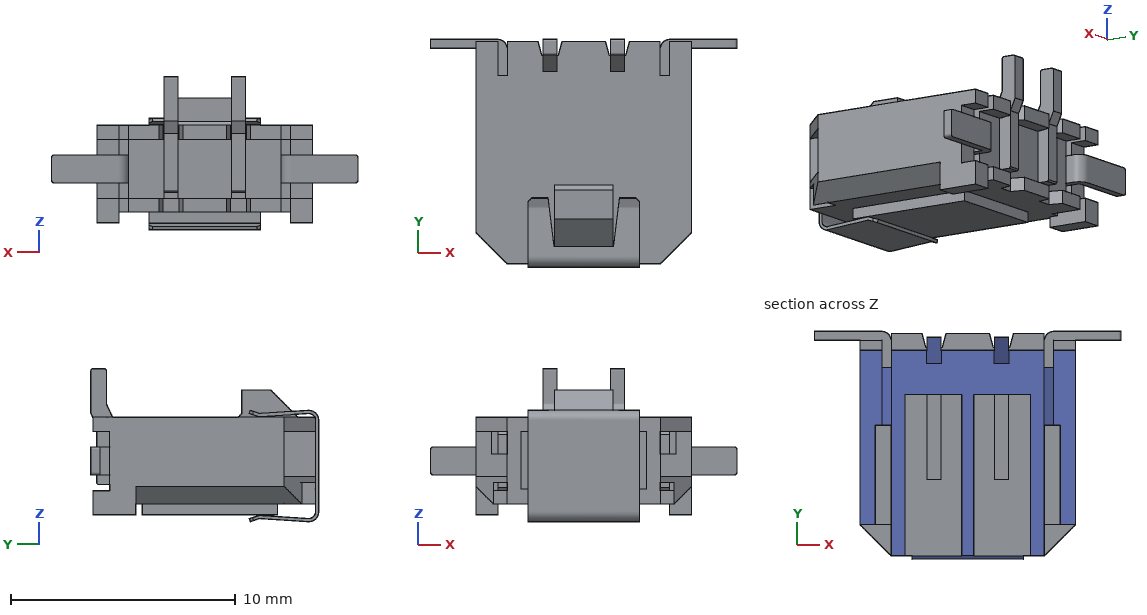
import cadquery as cq
import math


HOUSING_WIDTH = 9.61
HOUSING_LENGTH = 9.91
BODY_HEIGHT = 3.88
STANDOFF = 0.48
CORNER_CUT = 1.39
SIDE_BEVEL = 0.79
ROOF = 0.64
FOOT_LENGTH = 1.91
PAD_FRONT = 1.68
PAD_LENGTH = 6.03
REAR_RECESS_DEPTH = 0.75
REAR_RECESS_HEIGHT = 2.63

CAVITY_SPAN = 5.57
CAVITY_WALL = 0.55
CAVITY_HEIGHT = 2.55
CAVITY_DEPTH = 7.18

CORNER_POCKET_HEIGHT = 1.99
UPPER_WINDOW_WIDTH = 0.7
UPPER_WINDOW_HEIGHT = 1.0
LOWER_POCKET_TOP = 2.92

LATCH_WIDTH = 2.62
LATCH_HEIGHT = 1.21
LATCH_FRONT = 0.78
LATCH_BACK = 3.29
LATCH_FLARE = 0.15
LATCH_ROOT = 0.08

PIN_PITCH = 3.0
PIN_WIDTH = 0.64
PIN_TOP = 2.15
PIN_OVERHANG = 0.1
PIN_DEPTH = 0.71
PIN_FRONT_BEND = 0.57
PIN_REAR_BEND = 0.18
PIN_SLOPE = 0.47
PIN_BEND_RADIUS = 0.14
PIN_HEEL_INSET = 0.16
PIN_HEEL_BOTTOM = 3.0
PIN_HEEL_CHAMFER = 0.07
PIN_BLADE_FRONT = 3.41
PIN_TIP_ROUND = 0.11
PIN_SLOT_LENGTH = 1.34
PIN_FUNNEL_LENGTH = 0.63
PIN_FUNNEL_MOUTH = 1.06
PIN_FUNNEL_ROOT = 0.72

TAB_THICKNESS = 0.41
TAB_OUTER_FACE = 3.81
TAB_SPAN = 13.65
TAB_FRONT = 5.81
TAB_LEAD = 0.14
TAB_BEND_RADIUS = 0.04
WING_TOP = 1.32
WING_HEIGHT = 1.25
WING_TIP_ROUND = 0.12
TAB_SLOT_LENGTH = 1.52

CLIP_WIDTH = 4.97
CLIP_THICKNESS = 0.15
CLIP_HEIGHT = 4.97
CLIP_RADIUS = 0.45
CLIP_ARM_BEND = 2.5
CLIP_BEND_RADIUS = 0.2
CLIP_ARM_ANGLE = 3.7
CLIP_TIP_LENGTH = 0.45
CLIP_TIP_ANGLE = 18.0
CLIP_TIP_CHAMFER = 0.18
CLIP_SLIT_END = 0.78
CLIP_SLIT_ROOT = 2.65
CLIP_SLIT_MOUTH = 3.18

TOTAL_HEIGHT = BODY_HEIGHT + STANDOFF
HALF_WIDTH = HOUSING_WIDTH / 2
FLAT_HALF = HALF_WIDTH - CORNER_CUT
TAB_INNER_FACE = TAB_OUTER_FACE - TAB_THICKNESS
RECESS_BOTTOM = ROOF + REAR_RECESS_HEIGHT
SLOT_FRONT = HOUSING_LENGTH - PIN_SLOT_LENGTH
PIN_CENTERS = [-PIN_PITCH / 2, PIN_PITCH / 2]
SIDES = [-1, 1]


def block(x0, x1, y0, y1, z0, z1):
    """Box between two opposite corners."""
    size = (abs(x1 - x0), abs(y1 - y0), abs(z1 - z0))
    return cq.Workplane("XY").box(*size).translate(((x0 + x1) / 2, (y0 + y1) / 2, (z0 + z1) / 2))


def side_profile(points, width):
    """Closed (y, z) outline extruded along X, centred on X = 0."""
    return cq.Workplane("YZ").polyline(points).close().extrude(width / 2, both=True)


def make_pin():
    """Bent contact: upright leg, sloping neck, heel and a horizontal blade pointing forward."""
    rear = HOUSING_LENGTH + PIN_OVERHANG
    front = rear - PIN_DEPTH
    heel_rear = HOUSING_LENGTH - PIN_HEEL_INSET
    neck_bottom = PIN_FRONT_BEND - (front - SLOT_FRONT) / PIN_SLOPE
    heel_top = PIN_REAR_BEND - (rear - heel_rear) / PIN_SLOPE
    blade_top = -PIN_HEEL_BOTTOM + PIN_WIDTH
    pin = side_profile(
        [
            (rear, PIN_TOP),
            (rear, PIN_REAR_BEND),
            (heel_rear, heel_top),
            (heel_rear, -PIN_HEEL_BOTTOM + PIN_HEEL_CHAMFER),
            (heel_rear - PIN_HEEL_CHAMFER, -PIN_HEEL_BOTTOM),
            (PIN_BLADE_FRONT, -PIN_HEEL_BOTTOM),
            (PIN_BLADE_FRONT, blade_top),
            (SLOT_FRONT, blade_top),
            (SLOT_FRONT, neck_bottom),
            (front, PIN_FRONT_BEND),
            (front, PIN_TOP),
        ],
        PIN_WIDTH,
    )
    front_bend = cq.selectors.NearestToPointSelector((0, front, PIN_FRONT_BEND))
    pin = pin.edges(front_bend).fillet(PIN_BEND_RADIUS)
    return pin.faces(">Z").edges("|X").fillet(PIN_TIP_ROUND)


def make_tab(side):
    """Solder tab: tall plate, narrower neck and a wing bent outward (side is -1 or 1)."""
    plate_rear = HOUSING_LENGTH - TAB_SLOT_LENGTH
    plate = side_profile(
        [
            (TAB_FRONT, -ROOF - TAB_LEAD),
            (TAB_FRONT + TAB_LEAD, -ROOF),
            (plate_rear, -ROOF),
            (plate_rear, -RECESS_BOTTOM),
            (TAB_FRONT + TAB_LEAD, -RECESS_BOTTOM),
            (TAB_FRONT, -RECESS_BOTTOM + TAB_LEAD),
        ],
        TAB_THICKNESS,
    ).translate((TAB_OUTER_FACE - TAB_THICKNESS / 2, 0, 0))

    wing_rear = HOUSING_LENGTH + PIN_OVERHANG
    wing_front = wing_rear - TAB_THICKNESS
    outer_radius = TAB_BEND_RADIUS + TAB_THICKNESS
    bend_x = TAB_OUTER_FACE + TAB_BEND_RADIUS
    bend_y = wing_front - TAB_BEND_RADIUS

    def bend_middle(radius):
        reach = radius * math.sqrt(0.5)
        return (bend_x - reach, bend_y + reach)

    neck_and_wing = (
        cq.Workplane("XY")
        .workplane(offset=-WING_TOP)
        .moveTo(TAB_SPAN / 2, wing_rear)
        .lineTo(bend_x, wing_rear)
        .threePointArc(bend_middle(outer_radius), (TAB_INNER_FACE, bend_y))
        .lineTo(TAB_INNER_FACE, plate_rear)
        .lineTo(TAB_OUTER_FACE, plate_rear)
        .lineTo(TAB_OUTER_FACE, bend_y)
        .threePointArc(bend_middle(TAB_BEND_RADIUS), (bend_x, wing_front))
        .lineTo(TAB_SPAN / 2, wing_front)
        .close()
        .extrude(-WING_HEIGHT)
        .faces(">X")
        .edges("|Y")
        .fillet(WING_TIP_ROUND)
    )
    tab = plate.union(neck_and_wing)
    return tab if side > 0 else tab.mirror("YZ")


def make_clip_arm():
    """Upper half of the clip, before the slit is cut, with Z = 0 at half the clip's height."""
    half_height = CLIP_HEIGHT / 2
    inner_radius = CLIP_RADIUS - CLIP_THICKNESS
    bend_y = inner_radius
    bend_z = half_height - CLIP_RADIUS
    arm_angle = math.radians(CLIP_ARM_ANGLE)
    tip_angle = math.radians(CLIP_TIP_ANGLE)

    def on_bend(radius, angle):
        """Point on the bend; the angle runs from straight up toward the arm."""
        return (bend_y + radius * math.sin(angle), bend_z + radius * math.cos(angle))

    def arm_height(radius):
        """Height of the arm's face, tangent to the bend, where the tip turns outward."""
        return bend_z + radius / math.cos(arm_angle) - (CLIP_ARM_BEND - bend_y) * math.tan(arm_angle)

    inner_turn = (CLIP_ARM_BEND, arm_height(inner_radius))
    outer_turn = (CLIP_ARM_BEND, arm_height(CLIP_RADIUS))
    tip_y = CLIP_ARM_BEND + CLIP_TIP_LENGTH
    tip_z = inner_turn[1] + CLIP_TIP_LENGTH * math.tan(tip_angle)
    outer_tip = (
        tip_y - CLIP_THICKNESS * math.sin(tip_angle),
        tip_z + CLIP_THICKNESS * math.cos(tip_angle),
    )
    halfway = -math.radians(45)
    arm = (
        cq.Workplane("YZ")
        .moveTo(-CLIP_THICKNESS, 0)
        .lineTo(-CLIP_THICKNESS, bend_z)
        .threePointArc(on_bend(CLIP_RADIUS, halfway), on_bend(CLIP_RADIUS, arm_angle))
        .lineTo(*outer_turn)
        .lineTo(*outer_tip)
        .lineTo(tip_y, tip_z)
        .lineTo(*inner_turn)
        .lineTo(*on_bend(inner_radius, arm_angle))
        .threePointArc(on_bend(inner_radius, halfway), (0, bend_z))
        .lineTo(0, 0)
        .close()
        .extrude(CLIP_WIDTH / 2, both=True)
    )
    hollow_edge = cq.selectors.NearestToPointSelector((0, *outer_turn))
    arm = arm.edges(hollow_edge).fillet(CLIP_BEND_RADIUS)
    round_edge = cq.selectors.NearestToPointSelector((0, *inner_turn))
    arm = arm.edges(round_edge).fillet(CLIP_BEND_RADIUS + CLIP_THICKNESS)
    outline = (
        cq.Workplane("XY")
        .rect(CLIP_WIDTH, 2 * tip_y)
        .extrude(CLIP_HEIGHT)
        .edges("|Z and >Y")
        .chamfer(CLIP_TIP_CHAMFER)
    )
    return arm.intersect(outline)


def make_clip():
    """U-shaped sheet clip over the mating face, with a slit in the upper arm for the latch."""
    arm = make_clip_arm()
    tip_y = CLIP_ARM_BEND + CLIP_TIP_LENGTH
    slit = (
        cq.Workplane("XY")
        .polyline(
            [
                (-CLIP_SLIT_ROOT / 2, CLIP_SLIT_END),
                (CLIP_SLIT_ROOT / 2, CLIP_SLIT_END),
                (CLIP_SLIT_MOUTH / 2, tip_y),
                (-CLIP_SLIT_MOUTH / 2, tip_y),
            ]
        )
        .close()
        .extrude(CLIP_HEIGHT)
    )
    return arm.cut(slit).union(arm.mirror("XY")).translate((0, 0, -TOTAL_HEIGHT / 2))


def make_body():
    """Housing block with cut front corners, bevelled sides, rear feet and bottom pad."""
    body = (
        block(-HALF_WIDTH, HALF_WIDTH, 0, HOUSING_LENGTH, -BODY_HEIGHT, 0)
        .edges("|Z and <Y")
        .chamfer(CORNER_CUT)
    )
    foot_front = HOUSING_LENGTH - FOOT_LENGTH
    bevel = (
        cq.Workplane("XZ")
        .polyline(
            [
                (HALF_WIDTH, -BODY_HEIGHT),
                (HALF_WIDTH - SIDE_BEVEL, -BODY_HEIGHT),
                (HALF_WIDTH, -BODY_HEIGHT + SIDE_BEVEL),
            ]
        )
        .close()
        .extrude(-foot_front)
    )
    body = body.cut(bevel).cut(bevel.mirror("YZ"))
    for side in SIDES:
        inner = side * TAB_OUTER_FACE
        outer = side * HALF_WIDTH
        foot = block(inner, outer, foot_front, HOUSING_LENGTH, -TOTAL_HEIGHT, -BODY_HEIGHT)
        body = body.union(foot)
    pad = block(
        -CLIP_WIDTH / 2, CLIP_WIDTH / 2, PAD_FRONT, PAD_FRONT + PAD_LENGTH, -TOTAL_HEIGHT, -BODY_HEIGHT
    )
    return body.union(pad)


def make_latch():
    """Ramp that the slit of the clip fits around, flared at the foot of its back face."""
    flare_run = LATCH_FLARE + LATCH_ROOT
    return side_profile(
        [
            (LATCH_FRONT, 0),
            (LATCH_FRONT + LATCH_HEIGHT, LATCH_HEIGHT),
            (LATCH_BACK, LATCH_HEIGHT),
            (LATCH_BACK, LATCH_FLARE),
            (LATCH_BACK + flare_run, -LATCH_ROOT),
            (LATCH_FRONT, -LATCH_ROOT),
        ],
        LATCH_WIDTH,
    )


def latch_groove():
    """Groove behind the latch that lets its flare run below the top face."""
    half = LATCH_WIDTH / 2
    groove_back = LATCH_BACK + LATCH_FLARE + LATCH_ROOT
    return block(-half, half, LATCH_BACK, groove_back, -LATCH_ROOT, 0)


def mating_cavity(side):
    """Cavity around the blade of one pin, open at the front."""
    inner = side * CAVITY_WALL / 2
    outer = side * CAVITY_SPAN / 2
    return block(inner, outer, 0, CAVITY_DEPTH, -ROOF - CAVITY_HEIGHT, -ROOF)


def corner_pockets(side):
    """Pockets and windows in one front corner; the windows run back to the solder tab."""
    pocket_bottom = -ROOF - CORNER_POCKET_HEIGHT
    inner = side * FLAT_HALF
    lower_outer = side * (HALF_WIDTH - SIDE_BEVEL)
    pockets = block(inner, side * HALF_WIDTH, 0, CORNER_CUT, pocket_bottom, -ROOF)
    upper_window = block(
        inner, side * (FLAT_HALF + UPPER_WINDOW_WIDTH), 0, TAB_FRONT, -ROOF - UPPER_WINDOW_HEIGHT, -ROOF
    )
    lower_pocket = block(inner, lower_outer, 0, CORNER_CUT, -BODY_HEIGHT, -LOWER_POCKET_TOP)
    lower_window = block(inner, lower_outer, 0, TAB_FRONT, -RECESS_BOTTOM, -LOWER_POCKET_TOP)
    return pockets.union(upper_window).union(lower_pocket).union(lower_window)


def tab_slots(side):
    """Seat of one solder tab's plate, with a slot through the full height at the rear."""
    inner = side * TAB_INNER_FACE
    outer = side * TAB_OUTER_FACE
    seat = block(inner, outer, TAB_FRONT, HOUSING_LENGTH, -RECESS_BOTTOM, -ROOF)
    rear_slot = block(inner, outer, HOUSING_LENGTH - TAB_SLOT_LENGTH, HOUSING_LENGTH, -BODY_HEIGHT, 0)
    return seat.union(rear_slot)


def pin_slot(pin):
    """Space of one pin: its own shape, an open slot around it and a funnel through the back."""
    half = PIN_WIDTH / 2
    slot = block(-half, half, SLOT_FRONT, HOUSING_LENGTH, -RECESS_BOTTOM, 0)
    funnel_front = HOUSING_LENGTH - PIN_FUNNEL_LENGTH
    funnel = (
        cq.Workplane("XY")
        .polyline(
            [
                (-PIN_FUNNEL_ROOT / 2, funnel_front),
                (PIN_FUNNEL_ROOT / 2, funnel_front),
                (PIN_FUNNEL_MOUTH / 2, HOUSING_LENGTH),
                (-PIN_FUNNEL_MOUTH / 2, HOUSING_LENGTH),
            ]
        )
        .close()
        .extrude(-BODY_HEIGHT)
    )
    return pin.union(slot).union(funnel)


def make_housing(pin, clip):
    """Housing with all its openings; the clip's front bend is let into the front edge."""
    housing = make_body().cut(latch_groove()).union(make_latch())
    recess_front = HOUSING_LENGTH - REAR_RECESS_DEPTH
    housing = housing.cut(
        block(-HALF_WIDTH, HALF_WIDTH, recess_front, HOUSING_LENGTH, -RECESS_BOTTOM, -ROOF)
    )
    for side in SIDES:
        housing = housing.cut(mating_cavity(side)).cut(corner_pockets(side)).cut(tab_slots(side))
    for x in PIN_CENTERS:
        housing = housing.cut(pin_slot(pin).translate((x, 0, 0)))
    return housing.cut(clip)


pin_shape = make_pin()
clip = make_clip()
housing = make_housing(pin_shape, clip)
pins = [pin_shape.translate((x, 0, 0)) for x in PIN_CENTERS]
solder_tabs = [make_tab(side) for side in SIDES]

result = cq.Compound.makeCompound(
    [housing.val(), *[pin.val() for pin in pins], *[tab.val() for tab in solder_tabs], clip.val()]
)